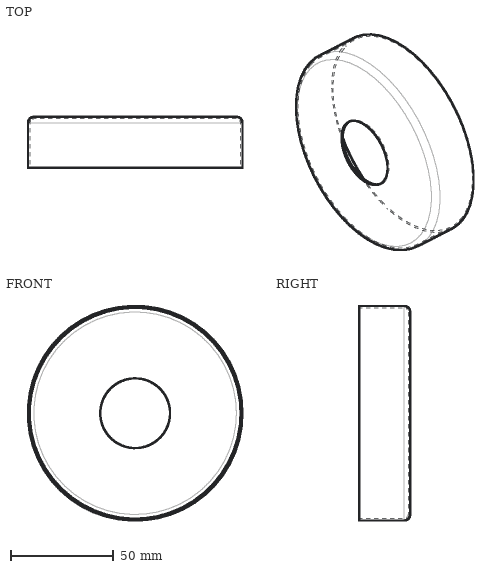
import cadquery as cq

outer_diameter = 105.0
depth = 25.0
wall = 1.0
inner_corner_radius = 2.0
bore_diameter = 34.0

outer_radius = outer_diameter / 2
outer_corner_radius = inner_corner_radius + wall
half_depth = depth / 2


def cylinder_along_y(radius, y_start, length):
    """Solid cylinder about the Y axis, growing from y_start towards +Y."""
    workplane = cq.Workplane("XZ", origin=(0, y_start, 0))
    return workplane.circle(radius).extrude(-length)


def rounded_plug(radius, y_start, length, corner_radius):
    """Cylinder about the Y axis with its +Y edge rounded."""
    return cylinder_along_y(radius, y_start, length).faces(">Y").edges().fillet(corner_radius)


shell = rounded_plug(outer_radius, -half_depth, depth, outer_corner_radius)
cavity = rounded_plug(outer_radius - wall, -half_depth, depth - wall, inner_corner_radius)

bore = cylinder_along_y(bore_diameter / 2, -half_depth, depth)

result = shell.cut(cavity).cut(bore)